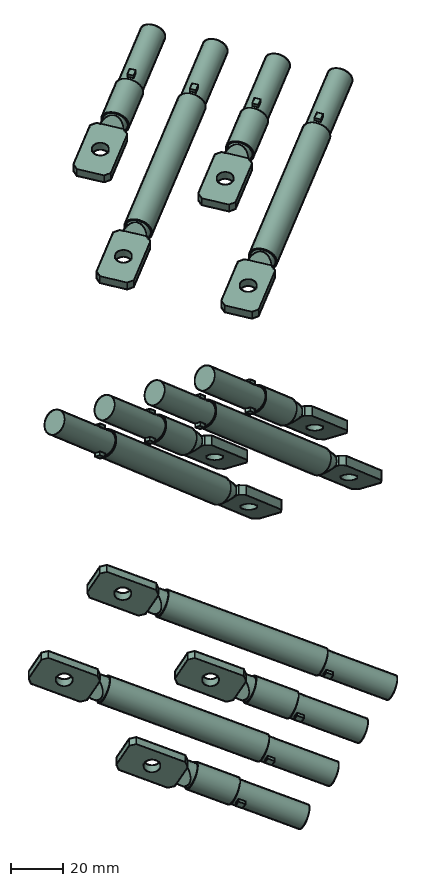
import cadquery as cq

rod_pitch = 25.0
rod_count = 4
shank_lengths = [22.0, 72.0]

spigot_diameter = 10.1
spigot_length = 30.0
sleeve_diameter = 11.3
neck_diameter = spigot_diameter
neck_length = 4.0

lug_width = 15.0
lug_length = 25.0
lug_thickness = 4.0
lug_corner_chamfer = 2.0
lug_hole_diameter = 6.5
rod_offset_from_lug = 0.7

stud_width = 2.5
stud_length = 3.0
stud_span = 13.0
stud_center_from_end = 27.0


def round_bar(diameter, y_start, length):
    """Cylinder on the Y axis running from y_start toward -Y."""
    return cq.Workplane("XZ", origin=(0, y_start, 0)).circle(diameter / 2).extrude(length)


def make_neck(y_lug):
    """Short round neck, tapered by 45 degree flats down to the lug thickness at y_lug."""
    neck = round_bar(neck_diameter, y_lug + neck_length, neck_length)
    half_thickness = lug_thickness / 2
    half_height = half_thickness + neck_length
    wedge = (
        cq.Workplane("YZ")
        .moveTo(y_lug, -half_thickness)
        .lineTo(y_lug, half_thickness)
        .lineTo(y_lug + neck_length, half_height)
        .lineTo(y_lug + neck_length, -half_height)
        .close()
        .extrude(neck_diameter / 2, both=True)
    )
    return neck.intersect(wedge)


def make_lug(y_lug):
    """Flat plate with chamfered corners and a central hole, running toward -Y from y_lug."""
    return (
        cq.Workplane("XY", origin=(-rod_offset_from_lug, y_lug - lug_length / 2, 0))
        .box(lug_width, lug_length, lug_thickness)
        .edges("|Z")
        .chamfer(lug_corner_chamfer)
        .faces(">Z")
        .workplane()
        .hole(lug_hole_diameter)
    )


def make_studs():
    """One square bar through the spigot, forming the upper and lower stud."""
    return (
        cq.Workplane("XY", origin=(0, -stud_center_from_end, 0))
        .box(stud_width, stud_length, stud_span)
    )


def make_terminal_rod(shank_length):
    """Complete rod, its free end at Y = 0 and its axis on the Y axis."""
    y_sleeve = -spigot_length
    y_lug = y_sleeve - shank_length
    return (
        round_bar(spigot_diameter, 0, spigot_length)
        .union(round_bar(sleeve_diameter, y_sleeve, shank_length - neck_length))
        .union(make_neck(y_lug))
        .union(make_lug(y_lug))
        .union(make_studs())
    )


terminal_rods = []
for index in range(rod_count):
    shank_length = shank_lengths[index % len(shank_lengths)]
    rod = make_terminal_rod(shank_length).translate((index * rod_pitch, 0, 0))
    terminal_rods.append(rod)

result = cq.Compound.makeCompound([rod.val() for rod in terminal_rods])